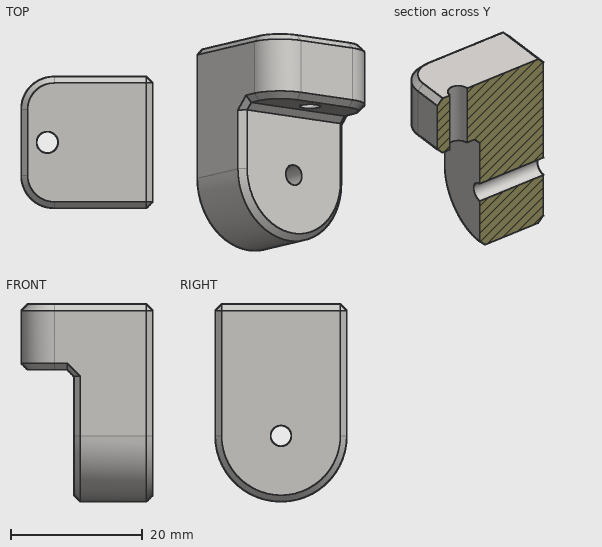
import cadquery as cq

height = 30.0
width = height * 2 / 3
depth = width

head_height = height / 3
leg_thickness = 12.0
corner_radius = width / 4
bevel = height / 30
head_hole_diameter = 3.2
leg_hole_diameter = 3.1
head_hole_inset = 4.0

leg_front = depth - leg_thickness
head_bottom = height - head_height
end_radius = width / 2
leg_hole_z = end_radius


def bracket_body():
    """L-shaped block whose leg ends in a half round and whose head has rounded front corners."""
    profile = (
        cq.Workplane("XZ")
        .moveTo(0, head_bottom)
        .lineTo(leg_front, head_bottom)
        .lineTo(leg_front, 0)
        .lineTo(depth, 0)
        .lineTo(depth, height)
        .lineTo(0, height)
        .close()
        .extrude(width / 2, both=True)
    )
    round_ended_outline = (
        cq.Workplane("YZ")
        .moveTo(-end_radius, height)
        .lineTo(-end_radius, end_radius)
        .threePointArc((0, 0), (end_radius, end_radius))
        .lineTo(end_radius, height)
        .close()
        .extrude(depth)
    )
    body = profile.intersect(round_ended_outline)
    return body.edges("|Z and <X").fillet(corner_radius)


def chamfer_outer_edges(body):
    """Chamfer the rims of the top, back, head underside and leg front, but not the inside corner."""
    inside_corner = cq.selectors.NearestToPointSelector((leg_front, 0, head_bottom))
    underside = cq.selectors.NearestToPointSelector((leg_front / 2, 0, head_bottom))
    leg_face = cq.selectors.NearestToPointSelector((leg_front, 0, head_bottom / 2))
    rims = body.faces(">Z or >X").add(body.faces(underside)).add(body.faces(leg_face)).edges()
    return rims.edges(-inside_corner).chamfer(bevel)


def inside_corner_triangle(side_y, growth):
    """Right triangle filling the inside corner; growth widens it where the side chamfers open."""
    corner_x = leg_front + growth
    corner_z = head_bottom + growth
    side_length = bevel + growth
    points = [
        (corner_x, corner_z),
        (corner_x - side_length, corner_z),
        (corner_x, corner_z - side_length),
    ]
    return cq.Wire.makePolygon([cq.Vector(x, side_y, z) for x, z in points], close=True)


def inside_corner_bevel():
    """Triangular strip across the inside corner, flaring at both ends to follow the side chamfers."""
    inner_y = width / 2 - bevel
    near_end = inside_corner_triangle(-inner_y, 0)
    far_end = inside_corner_triangle(inner_y, 0)
    strip = cq.Workplane(cq.Solid.makeLoft([near_end, far_end], True))
    for side, inner_end in ((-1, near_end), (1, far_end)):
        outer_end = inside_corner_triangle(side * width / 2, bevel)
        strip = strip.union(cq.Workplane(cq.Solid.makeLoft([inner_end, outer_end], True)))
    return strip


def drill_holes(body):
    """Drill the vertical hole through the head and the horizontal hole through the leg."""
    head_hole = (
        cq.Workplane("XY")
        .center(head_hole_inset, 0)
        .circle(head_hole_diameter / 2)
        .extrude(height)
    )
    leg_hole = (
        cq.Workplane("YZ")
        .center(0, leg_hole_z)
        .circle(leg_hole_diameter / 2)
        .extrude(depth)
    )
    return body.cut(head_hole).cut(leg_hole)


body = chamfer_outer_edges(bracket_body())
body = body.union(inside_corner_bevel())
result = drill_holes(body)